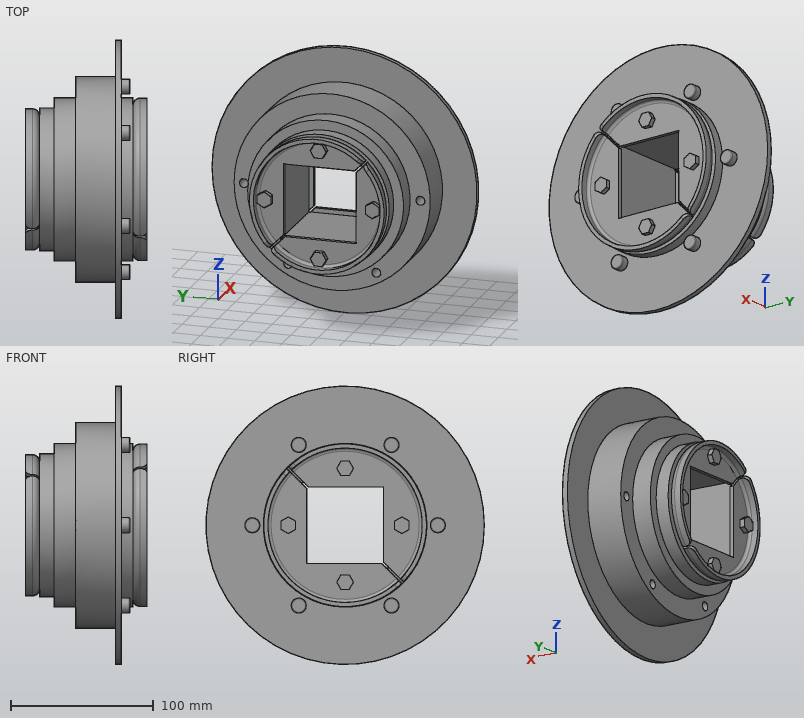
import cadquery as cq
import math


dish_depth = 10.0
total_length = 85.2
shoulder_x = 20.0
ring_x = 35.1
plate_x = 63.0
plate_thickness = 4.3
hub_start = dish_depth
hub_end = total_length - dish_depth
plate_back = plate_x + plate_thickness

small_radius = 50.1
large_radius = 57.3
bore_side = 60.0

small_dish_radius = 49.5
large_dish_radius = 57.0
dish_thickness = 3.0
bend_radius = 5.0
dish_hole_side = 53.5
slit_width = 1.5
rim_corner_radius = 4.3
slit_angle = 45

hex_count = 4
hex_circle_radius = 39.8
hex_flats = 10.1
hex_height = 3.9

ring_radius = 72.2
plate_radius = 97.5
screw_count = 6
screw_circle_radius = 65.0
screw_head_radius = 5.3
screw_head_height = 5.8
screw_edge_round = 0.5
ring_hole_diameter = 6.5
ring_hole_angles = (0, 180, 240, 300)


def cylinder(x_start, x_end, radius):
    """Solid cylinder on the X axis."""
    return cq.Workplane("YZ").workplane(offset=x_start).circle(radius).extrude(x_end - x_start)


def square_bar(x_start, x_end, side):
    """Square bar on the X axis."""
    return cq.Workplane("YZ").workplane(offset=x_start).rect(side, side).extrude(x_end - x_start)


def circle_points(radius, angles):
    """(Y, Z) points on a circle, with the angles in degrees from +Y."""
    return [(radius * math.cos(math.radians(a)), radius * math.sin(math.radians(a))) for a in angles]


def slit_cutter():
    """Slot across a whole dish that widens in two rounds at the rim edge, X = 0."""
    half_slit = slit_width / 2
    half_mouth = half_slit + rim_corner_radius
    diagonal = rim_corner_radius * math.sqrt(0.5)
    arc_x = rim_corner_radius - diagonal
    arc_y = half_mouth - diagonal
    reach = 2 * large_dish_radius
    return (
        cq.Workplane("XY")
        .moveTo(0, -half_mouth)
        .threePointArc((arc_x, -arc_y), (rim_corner_radius, -half_slit))
        .lineTo(dish_depth, -half_slit)
        .lineTo(dish_depth, half_slit)
        .lineTo(rim_corner_radius, half_slit)
        .threePointArc((arc_x, arc_y), (0, half_mouth))
        .close()
        .extrude(reach, both=True)
        .rotate((0, 0, 0), (1, 0, 0), slit_angle)
    )


def end_dish(radius):
    """Slit dish with its bolt heads; the rim edge is at X = 0 and the plate back at X = dish_depth."""
    plate_face = dish_depth - dish_thickness
    inner_bend = bend_radius - dish_thickness
    outside = cylinder(0, dish_depth, radius).faces(">X").edges().fillet(bend_radius)
    inside = cylinder(0, plate_face, radius - dish_thickness).faces(">X").edges().fillet(inner_bend)
    dish = outside.cut(inside).cut(square_bar(0, dish_depth, dish_hole_side)).cut(slit_cutter())

    hex_corner_diameter = hex_flats / math.cos(math.pi / 6)
    for i in range(hex_count):
        head = (
            cq.Workplane("YZ")
            .workplane(offset=plate_face - hex_height)
            .center(0, hex_circle_radius)
            .polygon(6, hex_corner_diameter)
            .extrude(hex_height)
            .rotate((0, 0, 0), (1, 0, 0), i * 360 / hex_count)
        )
        dish = dish.union(head)
    return dish


def make_hub():
    """Stepped hub with a mounting ring, a square bore and a dish on each end."""
    hub = cylinder(hub_start, shoulder_x, small_radius)
    hub = hub.union(cylinder(shoulder_x, hub_end, large_radius))
    hub = hub.union(cylinder(ring_x, plate_x, ring_radius))
    hub = hub.cut(square_bar(hub_start, hub_end, bore_side))

    ring_holes = (
        cq.Workplane("YZ")
        .workplane(offset=ring_x)
        .pushPoints(circle_points(screw_circle_radius, ring_hole_angles))
        .circle(ring_hole_diameter / 2)
        .extrude(plate_x - ring_x)
    )
    hub = hub.cut(ring_holes)

    large_dish = end_dish(large_dish_radius).mirror("YZ").translate((total_length, 0, 0))
    return hub.union(end_dish(small_dish_radius)).union(large_dish)


def make_mounting_plate():
    """Round plate that fits over the hub against the ring, with screw heads on its back."""
    plate = cylinder(plate_x, plate_back, plate_radius).cut(cylinder(plate_x, plate_back, large_radius))

    screw_angles = [i * 360 / screw_count for i in range(screw_count)]
    screw_heads = (
        cq.Workplane("YZ")
        .workplane(offset=plate_back)
        .pushPoints(circle_points(screw_circle_radius, screw_angles))
        .circle(screw_head_radius)
        .extrude(screw_head_height)
        .faces(">X")
        .edges()
        .fillet(screw_edge_round)
    )
    return plate.union(screw_heads)


hub = make_hub()
mounting_plate = make_mounting_plate()
result = cq.Compound.makeCompound([hub.val(), mounting_plate.val()])